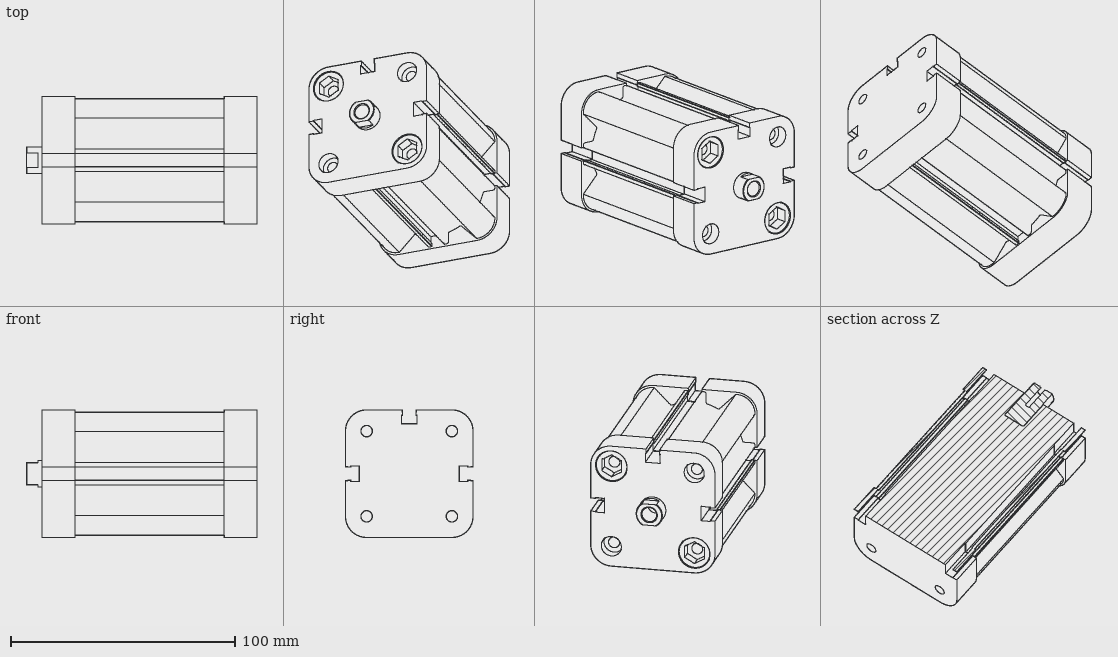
import cadquery as cq
import math


rod_projection = 7.0
cap_thickness = 14.8
housing_length = 96.0
barrel_length = housing_length - 2 * cap_thickness

cap_width = 57.0
cap_half = cap_width / 2
bolt_offset = 19.0
cap_corner_radius = cap_half - bolt_offset
cap_slot_width = 6.2
cap_slot_lip_depth = 2.2
cap_slot_inner_width = 6.8
cap_slot_floor = 22.2

profile_inset = 1.0
profile_half = cap_half - profile_inset
barrel_radius = 22.5
post_radius = cap_corner_radius - profile_inset
post_width = 12.4
rib_width = 10.2
rib_rounding = 1.0
root_fillet = 0.8
slot_mouth_width = 5.8
slot_mouth_chamfer = 0.2
slot_lip_thickness = 1.6
slot_inner_width = 7.0
slot_floor = 22.5

bolt_hole_diameter = 5.0
socket_diameter = 9.2
socket_depth = 5.1
nut_diameter = 14.0
nut_seat_diameter = 14.5
nut_recess = 0.5
nut_length = 5.3
nut_seat_depth = nut_recess + nut_length
nut_hex_flats = 9.0
nut_positions = [(bolt_offset, bolt_offset), (-bolt_offset, -bolt_offset)]
socket_positions = [(bolt_offset, -bolt_offset), (-bolt_offset, bolt_offset)]

rod_diameter = 12.0
rod_chamfer = 0.25
rod_flats = 10.0
rod_flat_length = 5.2
rod_depth = cap_thickness
thread_diameter = 6.7
thread_mouth_diameter = 7.5
thread_depth = 12.0
drill_tip_half_angle = 59.0


def section_plane(x):
    """Workplane across the axis, with local axes along +Y and +Z."""
    return cq.Workplane("YZ", origin=(x, 0, 0))


def around_axis(shape, angle):
    return shape.rotate((0, 0, 0), (1, 0, 0), angle)


def end_cap(x):
    block = section_plane(x).rect(cap_width, cap_width).extrude(cap_thickness)
    cap = block.edges("|X").fillet(cap_corner_radius)
    mouth_depth = cap_half - cap_slot_floor
    mouth = (
        section_plane(x)
        .center(0, cap_half - mouth_depth / 2)
        .rect(cap_slot_width, mouth_depth)
        .extrude(cap_thickness)
    )
    inner_depth = mouth_depth - cap_slot_lip_depth
    inner = (
        section_plane(x)
        .center(0, cap_slot_floor + inner_depth / 2)
        .rect(cap_slot_inner_width, inner_depth)
        .extrude(cap_thickness)
    )
    slot = mouth.union(inner)
    for angle in (-90, 0, 90):
        cap = cap.cut(around_axis(slot, angle))
    return cap


def corner_post():
    """Web with parallel sides that ends in a round head, on the top side."""
    half_width = post_width / 2
    head_centre = bolt_offset * math.sqrt(2)
    head_start = head_centre + math.sqrt(post_radius**2 - half_width**2)
    return (
        section_plane(cap_thickness)
        .moveTo(-half_width, 0)
        .lineTo(-half_width, head_start)
        .threePointArc((0, head_centre + post_radius), (half_width, head_start))
        .lineTo(half_width, 0)
        .close()
        .extrude(barrel_length)
    )


def rib():
    """Round-edged rib that carries a sensor slot, on the top side."""
    block = (
        section_plane(cap_thickness)
        .center(0, profile_half / 2)
        .rect(rib_width, profile_half)
        .extrude(barrel_length)
    )
    return block.edges("|X and >Z").fillet(rib_rounding)


def sensor_slot():
    """T-shaped slot with a chamfered mouth, on the top side."""
    mouth_half = slot_mouth_width / 2
    inner_half = slot_inner_width / 2
    lip_bottom = profile_half - slot_lip_thickness
    half_outline = [
        (mouth_half + slot_mouth_chamfer, profile_half),
        (mouth_half, profile_half - slot_mouth_chamfer),
        (mouth_half, lip_bottom),
        (inner_half, lip_bottom),
        (inner_half, slot_floor),
    ]
    mirrored = [(-y, z) for y, z in reversed(half_outline)]
    outline = half_outline + mirrored
    return section_plane(cap_thickness).polyline(outline).close().extrude(barrel_length)


def is_root_edge(edge):
    """True for an edge where a post or a rib meets the round barrel."""
    centre = edge.Center()
    return math.isclose(math.hypot(centre.y, centre.z), barrel_radius, abs_tol=0.01)


def barrel():
    body = section_plane(cap_thickness).circle(barrel_radius).extrude(barrel_length)
    for quarter in range(4):
        body = body.union(around_axis(rib(), 90 * quarter))
        body = body.union(around_axis(corner_post(), 45 + 90 * quarter))
    body = body.edges("|X").filter(is_root_edge).fillet(root_fillet)
    for quarter in range(4):
        body = body.cut(around_axis(sensor_slot(), 90 * quarter))
    return body


def bored(body, positions, diameter, depth):
    """Bore round holes into the front face."""
    tools = section_plane(0).pushPoints(positions).circle(diameter / 2).extrude(depth)
    return body.cut(tools)


def make_housing():
    """Barrel and both end caps, with the bolt holes and the rod bore."""
    body = barrel().union(end_cap(0)).union(end_cap(housing_length - cap_thickness))
    body = bored(body, nut_positions + socket_positions, bolt_hole_diameter, housing_length)
    body = bored(body, socket_positions, socket_diameter, socket_depth)
    body = bored(body, nut_positions, nut_seat_diameter, nut_seat_depth)
    return bored(body, [(0, 0)], rod_diameter, rod_depth)


def make_collar_nut(position):
    """Round nut with a hexagonal hole, set slightly below the front face."""
    hex_corners = nut_hex_flats / math.cos(math.pi / 6)
    nut = section_plane(nut_recess).center(*position).circle(nut_diameter / 2).extrude(nut_length)
    hex_hole = (
        section_plane(nut_recess)
        .center(*position)
        .transformed(rotate=(0, 0, 90))
        .polygon(6, hex_corners)
        .extrude(nut_length)
    )
    return nut.cut(hex_hole)


def threaded_hole():
    """Drilled hole with a countersunk mouth and a conical end, revolved about X."""
    radius = thread_diameter / 2
    mouth_radius = thread_mouth_diameter / 2
    mouth_depth = mouth_radius - radius
    tip_length = radius / math.tan(math.radians(drill_tip_half_angle))
    outline = [
        (0, 0),
        (0, mouth_radius),
        (mouth_depth, radius),
        (thread_depth, radius),
        (thread_depth + tip_length, 0),
    ]
    hole = cq.Workplane("XY").polyline(outline).close().revolve(360, (0, 0), (1, 0))
    return hole.translate((-rod_projection, 0, 0))


def make_rod():
    """Rod end with two wrench flats and an internal thread."""
    length = rod_projection + rod_depth
    rod = section_plane(-rod_projection).circle(rod_diameter / 2).extrude(length)
    rod = rod.faces("<X").chamfer(rod_chamfer)
    flat_cut = (rod_diameter - rod_flats) / 2
    for side in (1, -1):
        flat = (
            section_plane(-rod_projection)
            .center(0, side * (rod_flats + flat_cut) / 2)
            .rect(rod_diameter, flat_cut)
            .extrude(rod_flat_length)
        )
        rod = rod.cut(flat)
    return rod.cut(threaded_hole())


housing = make_housing()
rod = make_rod()
nuts = [make_collar_nut(position).val() for position in nut_positions]

result = cq.Compound.makeCompound([housing.val(), rod.val(), *nuts])